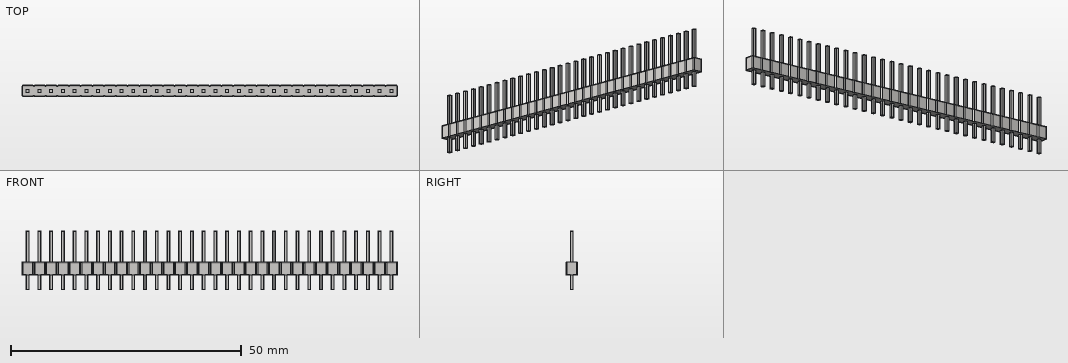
import cadquery as cq


pin_count = 32
pitch = 2.54
body_depth = 2.5
body_height = 2.8
corner_cut = 0.25
edge_radius = 0.2
pin_width = 0.63
pin_length = 12.7
pin_tail = 3.2
pin_offset = -0.05

first_cell_x = (pitch - pin_count * pitch) / 2
cell_positions = [(first_cell_x + i * pitch, 0) for i in range(pin_count)]
pin_positions = [(x + pin_offset, y) for x, y in cell_positions]


def make_body():
    """Cells with cut corners side by side; neighbours form V notches."""
    cell = (
        cq.Workplane("XY")
        .box(pitch, body_depth, body_height, centered=(True, True, False))
        .edges("|Z")
        .chamfer(corner_cut)
        .faces(">Y or <Y")
        .edges(">Z")
        .fillet(edge_radius)
        .val()
    )
    return cq.Workplane("XY").pushPoints(cell_positions).eachpoint(cell, combine=True)


def make_pins():
    """Square pins running through the body, one per cell."""
    return (
        cq.Workplane("XY")
        .workplane(offset=-pin_tail)
        .pushPoints(pin_positions)
        .rect(pin_width, pin_width)
        .extrude(pin_length)
    )


result = make_body().union(make_pins()).clean()